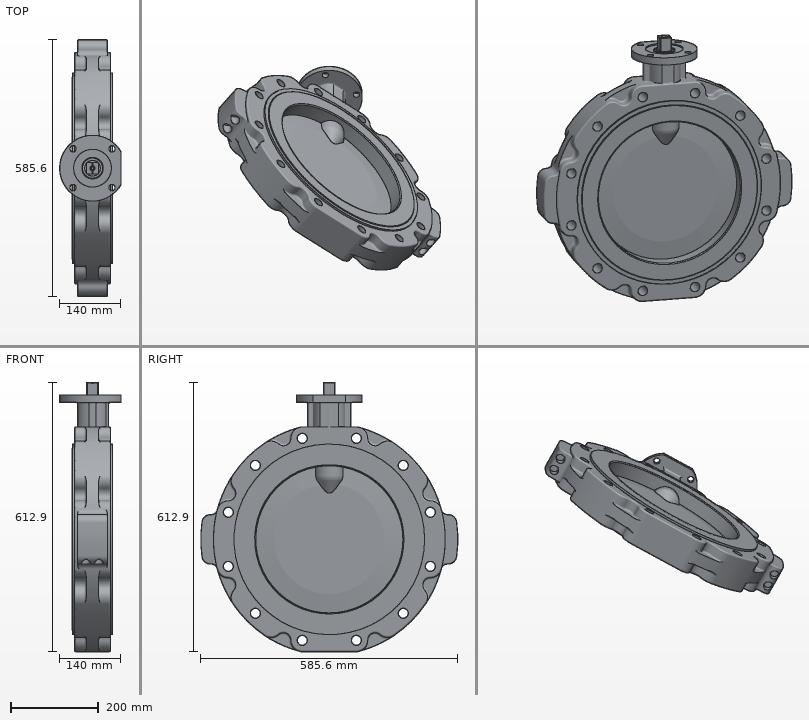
import cadquery as cq
import math


body_radius = 264.0
body_flat_height = 256.0
flange_half_width = 41.0
web_half_width = 14.2
flange_edge_round = 3.5
pocket_floor_round = 4.5

bolt_count = 12
bolt_circle_radius = 238.1
bolt_hole_diameter = 22.2

lug_radius = body_radius - bolt_circle_radius
scallop_radius = 17.0
shoulder_radius = 26.0

boss_radius = 217.0
boss_front_x = -45.5
boss_rear_x = 46.0
liner_radius = 208.0
liner_front_x = -47.0
liner_chamfer = 1.7
bore_radius = 167.5
bore_chamfer = 2.5

disc_edge_half_thickness = 11.0
disc_half_thickness = 15.0
disc_flat_radius = 125.0
disc_rim_overlap = 1.0
disc_hub_radius = 33.5
disc_hub_shoulder_height = 138.5
disc_hub_cone_angle = 29.0
disc_hub_round = 17.0

foot_outer_radius = 585.64 / 2
foot_half_height = 56.5
foot_half_width = 34.0
foot_corner_radius = 20.0
foot_blend_radius = 14.0
foot_edge_round = 2.8
foot_root = 240.0
foot_hole_diameter = 20.0
foot_hole_depth = 30.0
foot_hole_offset = 14.7

neck_radius = 36.8
neck_flat_x = -34.0
neck_rib_reach = 49.2
neck_rib_width = 15.0
neck_rib_round = 3.0
neck_rib_root_fillet = 2.5
neck_pad_x = 36.5
neck_pad_half_width = 21.0
neck_top_fillet = 4.0
neck_base_fillet = 0.8

mount_radius = 75.0
mount_flat_x = 65.0
mount_thickness = 17.0
mount_hole_diameter = 14.0
mount_bolt_circle = 125.0
mount_recess_diameter = 86.0
mount_recess_depth = 3.0
gland_diameter = 49.0
gland_depth = 3.0
gland_chamfer = 1.5

stem_top = 612.89 - body_flat_height
stem_length = 28.0
stem_square = 27.0
stem_diameter = 35.6
stem_hole_diameter = 6.0
stem_countersink_diameter = 11.0
stem_hole_depth = 20.0
stem_slot_width = 1.5
stem_slot_depth = 1.0

mount_top = stem_top - stem_length
mount_bottom = mount_top - mount_thickness
gland_floor = mount_top - mount_recess_depth - gland_depth


def polar(radius, angle):
    return (radius * math.cos(angle), radius * math.sin(angle))


def arc_points(centre, radius, start, end):
    """Start, middle and end of the shorter arc between two points on a circle."""
    first = math.atan2(start[1] - centre[1], start[0] - centre[0])
    last = math.atan2(end[1] - centre[1], end[0] - centre[0])
    sweep = (last - first + math.pi) % (2 * math.pi) - math.pi
    dy, dz = polar(radius, first + sweep / 2)
    return [start, (centre[0] + dy, centre[1] + dz), end]


def block(x_range, y_width, z_range):
    """Box centred on Y = 0."""
    length = x_range[1] - x_range[0]
    height = z_range[1] - z_range[0]
    box = cq.Workplane("XY").box(length, y_width, height, centered=(False, True, False))
    return box.translate((x_range[0], 0, z_range[0]))


def between(start, end, distance):
    """Point at a distance from start on the way to end."""
    ratio = distance / math.dist(start, end)
    return (start[0] + ratio * (end[0] - start[0]), start[1] + ratio * (end[1] - start[1]))


def x_cylinder(radius, x_start, x_end):
    return cq.Workplane("YZ").workplane(offset=x_start).circle(radius).extrude(x_end - x_start)


def z_cylinder(radius, z_start, z_end):
    return cq.Workplane("XY").workplane(offset=z_start).circle(radius).extrude(z_end - z_start)


def pocket_profile():
    """Lug, scallop and shoulder arcs in the +Y+Z quadrant, and a point clear of the body."""
    lug_angle = math.pi / 2 - math.pi / bolt_count
    lug = polar(bolt_circle_radius, lug_angle)
    scallop = (lug[0] + lug_radius + scallop_radius, lug[1])

    shoulder_distance = body_radius - shoulder_radius
    scallop_distance = math.hypot(*scallop)
    reach = scallop_radius + shoulder_radius
    cosine = shoulder_distance**2 + scallop_distance**2 - reach**2
    cosine /= 2 * shoulder_distance * scallop_distance
    shoulder_angle = math.atan2(scallop[1], scallop[0]) - math.acos(cosine)
    shoulder = polar(shoulder_distance, shoulder_angle)

    lug_start = polar(body_radius, lug_angle)
    lug_end = (lug[0] + lug_radius, lug[1])
    scallop_end = between(scallop, shoulder, scallop_radius)
    shoulder_end = polar(body_radius, shoulder_angle)
    arcs = [
        arc_points(lug, lug_radius, lug_start, lug_end),
        arc_points(scallop, scallop_radius, lug_end, scallop_end),
        arc_points(shoulder, shoulder_radius, scallop_end, shoulder_end),
    ]
    outside = polar(body_radius + shoulder_radius, (lug_angle + shoulder_angle) / 2)
    return arcs, outside


def make_pocket():
    """Cutter for one scallop in the +X flange, with its floor against the web rounded."""
    arcs, outside = pocket_profile()
    profile = cq.Workplane("YZ").workplane(offset=web_half_width).moveTo(*arcs[0][0])
    for arc in arcs:
        profile = profile.threePointArc(*arc[1:])
    pocket = profile.lineTo(*outside).close().extrude(2 * flange_half_width)
    return pocket.faces("<X").edges("%CIRCLE").fillet(pocket_floor_round)


def cut_pockets(body):
    pocket = make_pocket()
    diagonal_mirror = pocket.mirror(cq.Vector(0, 1, -1))
    for cutter in (pocket, diagonal_mirror):
        pair = cutter.union(cutter.mirror("YZ"))
        four = pair.union(pair.mirror("XZ"))
        body = body.cut(four).cut(four.mirror("XY"))
    return body


def make_body():
    body = x_cylinder(body_radius, -flange_half_width, flange_half_width)
    trim = block(
        (-flange_half_width, flange_half_width), 2 * body_radius, (-body_flat_height, body_flat_height)
    )
    body = body.intersect(trim)
    body = cut_pockets(body)
    body = body.faces("<X or >X").edges().fillet(flange_edge_round)
    body = body.union(x_cylinder(boss_radius, boss_front_x, boss_rear_x))
    liner = x_cylinder(liner_radius, liner_front_x, 0).faces("<X").edges().chamfer(liner_chamfer)
    return body.union(liner)


def make_foot():
    """Rounded foot on the +Y side, blended into the body, with two holes from below."""
    top = foot_half_height
    blend_z = top + foot_blend_radius
    blend = (math.sqrt((body_radius + foot_blend_radius) ** 2 - blend_z**2), blend_z)
    blend_start = between((0.0, 0.0), blend, body_radius)
    blend_end = (blend[0], top)
    corner_z = top - foot_corner_radius
    corner = (math.sqrt((foot_outer_radius - foot_corner_radius) ** 2 - corner_z**2), corner_z)
    corner_start = (corner[0], top)
    corner_end = between((0.0, 0.0), corner, foot_outer_radius)
    upper_blend = arc_points(blend, foot_blend_radius, blend_start, blend_end)
    upper_corner = arc_points(corner, foot_corner_radius, corner_start, corner_end)
    lower_blend = [(y, -z) for y, z in reversed(upper_blend)]
    lower_corner = [(y, -z) for y, z in reversed(upper_corner)]

    foot = (
        cq.Workplane("YZ").workplane(offset=-foot_half_width)
        .moveTo(foot_root, blend_start[1]).lineTo(*upper_blend[0])
        .threePointArc(*upper_blend[1:]).lineTo(*upper_corner[0])
        .threePointArc(*upper_corner[1:])
        .threePointArc((foot_outer_radius, 0), lower_corner[0])
        .threePointArc(*lower_corner[1:]).lineTo(*lower_blend[0])
        .threePointArc(*lower_blend[1:]).lineTo(foot_root, -blend_start[1])
        .close().extrude(2 * foot_half_width)
    )
    outer_edges = cq.selectors.BoxSelector(
        (-body_radius, body_radius, -top - 1), (body_radius, foot_outer_radius + 1, top + 1)
    )
    foot = foot.faces("<X or >X").edges(outer_edges).fillet(foot_edge_round)
    hole_y = (body_radius + foot_outer_radius) / 2
    for x in (-foot_hole_offset, foot_hole_offset):
        hole = z_cylinder(foot_hole_diameter / 2, -top, -top + foot_hole_depth)
        foot = foot.cut(hole.translate((x, hole_y, 0)))
    return foot


def cut_bore_and_bolts(body):
    bore = x_cylinder(bore_radius, liner_front_x, boss_rear_x)
    for x, inward in ((liner_front_x, 1), (boss_rear_x, -1)):
        mouth = cq.Solid.makeCone(
            bore_radius + bore_chamfer, bore_radius, bore_chamfer, cq.Vector(x, 0, 0), cq.Vector(inward, 0, 0)
        )
        bore = bore.union(cq.Workplane(obj=mouth))
    bolts = (
        cq.Workplane("YZ").workplane(offset=-flange_half_width)
        .polarArray(bolt_circle_radius, 180 / bolt_count, 360, bolt_count)
        .circle(bolt_hole_diameter / 2).extrude(2 * flange_half_width)
    )
    return body.cut(bore).cut(bolts)


def make_disc():
    """Closed disc, tapered to its rim, with a conical stem hub at the top and bottom."""
    rim_radius = bore_radius + disc_rim_overlap
    disc = (
        cq.Workplane("XY")
        .moveTo(-disc_half_thickness, 0).lineTo(-disc_half_thickness, disc_flat_radius)
        .lineTo(-disc_edge_half_thickness, rim_radius).lineTo(disc_edge_half_thickness, rim_radius)
        .lineTo(disc_half_thickness, disc_flat_radius).lineTo(disc_half_thickness, 0)
        .close().revolve(360, (0, 0, 0), (1, 0, 0))
    )
    cone_length = disc_hub_radius / math.tan(math.radians(disc_hub_cone_angle))
    hub = (
        cq.Workplane("XZ")
        .moveTo(0, disc_hub_shoulder_height - cone_length).lineTo(disc_hub_radius, disc_hub_shoulder_height)
        .lineTo(disc_hub_radius, rim_radius).lineTo(0, rim_radius)
        .close().revolve(360, (0, 0, 0), (0, 1, 0))
    )
    hub = hub.edges("%CIRCLE").edges("<Z").fillet(disc_hub_round)
    return disc.union(hub).union(hub.mirror("XY"))


def make_neck():
    z_range = (body_flat_height, mount_bottom)
    neck = z_cylinder(neck_radius, *z_range)
    neck = neck.intersect(block((neck_flat_x, neck_radius), 2 * neck_radius, z_range))
    ribs = block((-neck_rib_width / 2, neck_rib_width / 2), 2 * neck_rib_reach, z_range)
    neck = neck.union(ribs.edges("|Z").fillet(neck_rib_round))
    roots = cq.selectors.BoxSelector(
        (-neck_rib_width, -neck_radius, 0), (neck_rib_width, neck_radius, stem_top)
    )
    neck = neck.edges("|Z").edges(roots).fillet(neck_rib_root_fillet)
    return neck.union(block((0, neck_pad_x), 2 * neck_pad_half_width, z_range))


def make_mount():
    mount = z_cylinder(mount_radius, mount_bottom, mount_top)
    return mount.intersect(block((-mount_radius, mount_flat_x), 2 * mount_radius, (mount_bottom, mount_top)))


def cut_mount(part):
    part = part.cut(z_cylinder(mount_recess_diameter / 2, mount_top - mount_recess_depth, mount_top))
    gland = z_cylinder(gland_diameter / 2, gland_floor, mount_top - mount_recess_depth)
    part = part.cut(gland.faces("<Z").edges().chamfer(gland_chamfer))
    holes = (
        cq.Workplane("XY").workplane(offset=mount_bottom)
        .polarArray(mount_bolt_circle / 2, 45, 360, 4)
        .circle(mount_hole_diameter / 2).extrude(mount_thickness)
    )
    return part.cut(holes)


def make_stem():
    shaft_top = mount_top - mount_recess_depth
    stem = z_cylinder(stem_diameter / 2, gland_floor, stem_top)
    square = block((-stem_square / 2, stem_square / 2), stem_square, (shaft_top, stem_top))
    shaft = z_cylinder(stem_diameter / 2, gland_floor, shaft_top)
    stem = stem.intersect(square).union(shaft)
    stem = stem.cut(z_cylinder(stem_hole_diameter / 2, stem_top - stem_hole_depth, stem_top))
    countersink_depth = (stem_countersink_diameter - stem_hole_diameter) / 2
    countersink = cq.Solid.makeCone(
        stem_countersink_diameter / 2, stem_hole_diameter / 2, countersink_depth,
        cq.Vector(0, 0, stem_top), cq.Vector(0, 0, -1),
    )
    stem = stem.cut(cq.Workplane(obj=countersink))
    slot_range = (-stem_slot_width / 2, stem_slot_width / 2)
    return stem.cut(block(slot_range, stem_diameter, (stem_top - stem_slot_depth, stem_top)))


def fillet_neck_end(part, z, radius):
    """Fillet the whole outline of the neck where it meets the face at height z."""
    tolerance = 0.1
    reach_x = neck_pad_x + 1
    reach_y = neck_rib_reach + 1
    outline = cq.selectors.BoxSelector(
        (-reach_x, -reach_y, z - tolerance),
        (reach_x, reach_y, z + tolerance),
        boundingbox=True,
    )
    return part.edges(outline).fillet(radius)


foot = make_foot()
body = make_body().union(foot).union(foot.mirror("XZ"))
body = cut_bore_and_bolts(body).union(make_disc())
upper = fillet_neck_end(make_neck().union(make_mount()), mount_bottom, neck_top_fillet)
result = fillet_neck_end(body.union(upper), body_flat_height, neck_base_fillet)
result = cut_mount(result).union(make_stem())